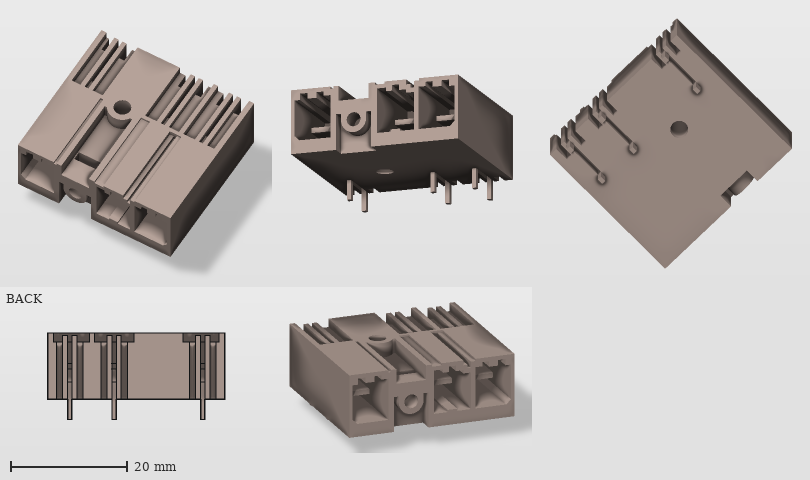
import cadquery as cq

WIDTH = 30.48
DEPTH = 28.3
HEIGHT = 11.4
PIN_LENGTH = 3.5

PITCH = WIDTH / 4
LEFT_X, SCREW_X, MIDDLE_X, RIGHT_X = [PITCH * (i + 0.5) for i in range(4)]
POLES = (LEFT_X, MIDDLE_X, RIGHT_X)

CAVITY_DEPTH = 15.8
CAVITY_FLOOR = 2.35
CAVITY_HALF = 3.38
OUTER_HALF = 3.17
CORNER_CHAMFER = 0.85
KEYWAY_TOP = 10.65
RIB_BOTTOM = 9.63
INNER_ROOF = 9.88
OUTER_ROOF = 9.5
MIDDLE_LEFT_ROOF = 10.27
MIDDLE_RIGHT_ROOF = 9.02
FLOOR_KEY_WIDTH = 1.77
FLOOR_KEY_HEIGHT = 0.4

STRIP = 0.75
BLADE_HALF = 2.25
BLADE_BOTTOM = 5.2
BLADE_THICKNESS = 0.9
BLADE_TIP = 6.1
BLADE_END = DEPTH - 6.8
TAIL_START = DEPTH - 9.27
TAIL_END = DEPTH - 0.6
LEG_DEPTH = 1.0
TAIL_CHAMFER = 2.25

POCKET_LENGTH = 11.8
POCKET_DEPTH = 1.52
POCKET_OUTER_HALF = 2.8
GUIDE_HALF = 1.22
GUIDE_DROP = 0.4
NOTCH_HALF = 2.3
NOTCH_LENGTH = 2.62

GROOVE_LENGTH = 15.8
GROOVE_DEPTH = 0.4

WELL_WIDTH = 5.5
WELL_LENGTH = 14.7
WELL_FLOOR = 8.75
BOSS_Y = 16.0
BOSS_RADIUS = 2.65
BOSS_HOLE_RADIUS = 1.52
RECESS_WIDTH = 6.4
RECESS_DEPTH = 2.65
RECESS_TOP = 6.37
LUG_RADIUS = 2.3
BORE_RADIUS = 1.25
BORE_Z = 5.18
NUT_SLOT_Y = 4.05
NUT_SLOT_LENGTH = 1.62
NUT_SLOT_LEFT = 8.87
NUT_SLOT_FLOOR = BORE_Z - LUG_RADIUS


def block(x_range, y_range, z_range):
    """Box between two limits along each axis."""
    (x0, x1), (y0, y1), (z0, z1) = x_range, y_range, z_range
    return cq.Workplane("XY").box(x1 - x0, y1 - y0, z1 - z0, centered=False).translate((x0, y0, z0))


def extrude_back(outline, length):
    """Prism from an (x, z) outline on the mating face, running back along Y."""
    return cq.Workplane("XZ").polyline(outline).close().extrude(-length)


def left_cavity():
    left = LEFT_X - OUTER_HALF
    right = LEFT_X + CAVITY_HALF
    outer_keyway = (1.65, 3.02)
    inner_keyway = (4.65, 5.9)
    outline = [
        (left + CORNER_CHAMFER, CAVITY_FLOOR),
        (right, CAVITY_FLOOR),
        (right, INNER_ROOF),
        (inner_keyway[1], INNER_ROOF),
        (inner_keyway[1], KEYWAY_TOP),
        (inner_keyway[0], KEYWAY_TOP),
        (inner_keyway[0], RIB_BOTTOM),
        (outer_keyway[1], RIB_BOTTOM),
        (outer_keyway[1], KEYWAY_TOP),
        (outer_keyway[0], KEYWAY_TOP),
        (outer_keyway[0], OUTER_ROOF),
        (left, OUTER_ROOF),
        (left, CAVITY_FLOOR + CORNER_CHAMFER),
    ]
    return extrude_back(outline, CAVITY_DEPTH)


def right_cavity():
    """Mirror image of the left cavity about the middle of the housing."""
    return left_cavity().mirror("YZ", (WIDTH / 2, 0, 0))


def middle_cavity():
    left = MIDDLE_X - CAVITY_HALF
    right = MIDDLE_X + CAVITY_HALF
    left_roof_end = 17.3
    keyway = (18.45, 19.7)
    right_roof_start = 21.03
    outline = [
        (left, CAVITY_FLOOR),
        (right, CAVITY_FLOOR),
        (right, MIDDLE_RIGHT_ROOF),
        (right_roof_start, MIDDLE_RIGHT_ROOF),
        (right_roof_start, RIB_BOTTOM),
        (keyway[1], RIB_BOTTOM),
        (keyway[1], KEYWAY_TOP),
        (keyway[0], KEYWAY_TOP),
        (keyway[0], RIB_BOTTOM),
        (left_roof_end, RIB_BOTTOM),
        (left_roof_end, MIDDLE_LEFT_ROOF),
        (left, MIDDLE_LEFT_ROOF),
    ]
    floor_key = block(
        (MIDDLE_X - FLOOR_KEY_WIDTH / 2, MIDDLE_X + FLOOR_KEY_WIDTH / 2),
        (0, CAVITY_DEPTH),
        (CAVITY_FLOOR, CAVITY_FLOOR + FLOOR_KEY_HEIGHT),
    )
    return extrude_back(outline, CAVITY_DEPTH).cut(floor_key)


def rear_pocket(pole_x, left_half, right_half):
    """Shallow pocket that leaves two guide ribs, with a notch outside each rib at the back."""
    pocket = block(
        (pole_x - left_half, pole_x + right_half),
        (DEPTH - POCKET_LENGTH, DEPTH),
        (HEIGHT - POCKET_DEPTH, HEIGHT),
    )
    notches = block((pole_x - NOTCH_HALF, pole_x + NOTCH_HALF), (DEPTH - NOTCH_LENGTH, DEPTH), (0, HEIGHT))
    guide_ribs = block(
        (pole_x - GUIDE_HALF, pole_x + GUIDE_HALF),
        (DEPTH - POCKET_LENGTH, DEPTH),
        (0, HEIGHT - GUIDE_DROP),
    )
    return pocket.union(notches).cut(guide_ribs)


def contact_slot(pole_x):
    """Passage for the tail, with the gap between the guide ribs above it and the seat of the blade."""
    half = STRIP / 2
    tail_slot = block((pole_x - half, pole_x + half), (TAIL_START, DEPTH), (0, HEIGHT))
    rib_gap = block(
        (pole_x - half, pole_x + half),
        (DEPTH - POCKET_LENGTH, DEPTH),
        (HEIGHT - POCKET_DEPTH, HEIGHT),
    )
    return tail_slot.union(rib_gap).union(contact_blade(pole_x))


def top_groove(x_range, depth):
    return block(x_range, (0, GROOVE_LENGTH), (HEIGHT - depth, HEIGHT))


def screw_well():
    """Open channel on top whose back end is rounded out by the boss."""
    half = WELL_WIDTH / 2
    well = block((SCREW_X - half, SCREW_X + half), (0, WELL_LENGTH), (WELL_FLOOR, HEIGHT))
    boss = cq.Workplane("XY").center(SCREW_X, BOSS_Y).circle(BOSS_RADIUS).extrude(HEIGHT)
    nut_slot = block(
        (NUT_SLOT_LEFT, SCREW_X + half),
        (NUT_SLOT_Y, NUT_SLOT_Y + NUT_SLOT_LENGTH),
        (NUT_SLOT_FLOOR, WELL_FLOOR),
    )
    return well.cut(boss).union(nut_slot)


def front_recess():
    """Recess under the screw well that leaves a round-bottomed lug around the bore."""
    half = RECESS_WIDTH / 2
    recess = block((SCREW_X - half, SCREW_X + half), (0, RECESS_DEPTH), (0, RECESS_TOP))
    lug_round = cq.Workplane("XZ").center(SCREW_X, BORE_Z).circle(LUG_RADIUS).extrude(-RECESS_DEPTH)
    lug_sides = block(
        (SCREW_X - LUG_RADIUS, SCREW_X + LUG_RADIUS),
        (0, RECESS_DEPTH),
        (BORE_Z, RECESS_TOP),
    )
    return recess.cut(lug_round).cut(lug_sides)


def screw_bore():
    bore_length = NUT_SLOT_Y + NUT_SLOT_LENGTH
    return cq.Workplane("XZ").center(SCREW_X, BORE_Z).circle(BORE_RADIUS).extrude(-bore_length)


def boss_hole():
    return cq.Workplane("XY").center(SCREW_X, BOSS_Y).circle(BOSS_HOLE_RADIUS).extrude(HEIGHT)


def contact_blade(pole_x):
    return block(
        (pole_x - BLADE_HALF, pole_x + BLADE_HALF),
        (BLADE_TIP, BLADE_END),
        (BLADE_BOTTOM, BLADE_BOTTOM + BLADE_THICKNESS),
    )


def contact(pole_x):
    """Flat blade on a narrow bridge-shaped tail with two solder legs."""
    bridge_bottom = BLADE_BOTTOM - TAIL_CHAMFER
    tail_outline = [
        (TAIL_START, -PIN_LENGTH),
        (TAIL_START, BLADE_BOTTOM),
        (TAIL_END - TAIL_CHAMFER, BLADE_BOTTOM),
        (TAIL_END, BLADE_BOTTOM - TAIL_CHAMFER),
        (TAIL_END, -PIN_LENGTH),
        (TAIL_END - LEG_DEPTH, -PIN_LENGTH),
        (TAIL_END - LEG_DEPTH, bridge_bottom),
        (TAIL_START + LEG_DEPTH, bridge_bottom),
        (TAIL_START + LEG_DEPTH, -PIN_LENGTH),
    ]
    tail = cq.Workplane("YZ").polyline(tail_outline).close().extrude(STRIP)
    return contact_blade(pole_x).union(tail.translate((pole_x - STRIP / 2, 0, 0)))


def make_housing():
    pocket_halves = (
        (POCKET_OUTER_HALF, CAVITY_HALF),
        (CAVITY_HALF, CAVITY_HALF),
        (CAVITY_HALF, POCKET_OUTER_HALF),
    )
    grooves = (
        ((7.2, 7.75), GROOVE_DEPTH),
        ((15.3, 17.07), GROOVE_DEPTH),
        ((21.03, 21.82), 0.88),
        ((21.82, 22.43), 1.52),
        ((22.43, 23.35), GROOVE_DEPTH),
    )
    body = block((0, WIDTH), (0, DEPTH), (0, HEIGHT))
    for cavity in (left_cavity(), middle_cavity(), right_cavity()):
        body = body.cut(cavity)
    for pole_x, (left_half, right_half) in zip(POLES, pocket_halves):
        body = body.cut(rear_pocket(pole_x, left_half, right_half))
        body = body.cut(contact_slot(pole_x))
    for x_range, depth in grooves:
        body = body.cut(top_groove(x_range, depth))
    for cutter in (screw_well(), front_recess(), screw_bore(), boss_hole()):
        body = body.cut(cutter)
    return body


housing = make_housing()
contacts = [contact(pole_x) for pole_x in POLES]

result = cq.Compound.makeCompound([housing.val(), *[body.val() for body in contacts]])